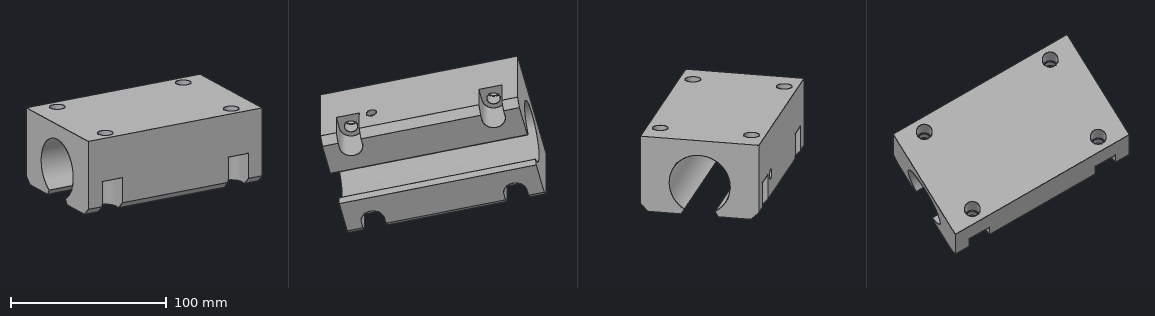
import cadquery as cq
import math

width = 78.0
length = 130.0
height = 51.0
bevel = 5.0

bore_diameter = 40.0
bore_axis_z = 20.9
mouth_half_angle = math.radians(30)

hole_spacing_x = 60.0
hole_spacing_y = 94.0
thread_diameter = 10.0
core_diameter = 8.6
thread_depth = 20.0
slot_width = 15.1
slot_height = 22.0

port_y = 31.5
port_z = 19.5
port_diameter = 6.5
port_depth = 4.0
duct_diameter = 4.0


def make_block():
    half_width = width / 2
    foot_half_width = half_width - bevel
    profile = cq.Workplane("XZ", origin=(0, length / 2, 0)).polyline([
        (-foot_half_width, 0),
        (foot_half_width, 0),
        (half_width, bevel),
        (half_width, height),
        (-half_width, height),
        (-half_width, bevel),
    ])
    return profile.close().extrude(length)


def make_bore():
    plane = cq.Workplane("XZ", origin=(0, length / 2, 0))
    bore = plane.center(0, bore_axis_z).circle(bore_diameter / 2).extrude(length)
    mouth_half_width = bore_axis_z * math.tan(mouth_half_angle)
    mouth = plane.polyline([
        (0, bore_axis_z),
        (-mouth_half_width, 0),
        (mouth_half_width, 0),
    ]).close().extrude(length)
    return bore.union(mouth)


def make_mounting_hole(side_x, side_y):
    """Stepped vertical hole over a round-ended slot open to the nearest side."""
    x = side_x * hole_spacing_x / 2
    y = side_y * hole_spacing_y / 2
    core = cq.Workplane("XY", origin=(x, y, 0)).circle(core_diameter / 2).extrude(height)
    thread = (
        cq.Workplane("XY", origin=(x, y, height))
        .circle(thread_diameter / 2)
        .extrude(-thread_depth)
    )
    slot_end = cq.Workplane("XY", origin=(x, y, 0)).circle(slot_width / 2).extrude(slot_height)
    slot_run = width / 2 - abs(x)
    slot = (
        cq.Workplane("XY", origin=(x + side_x * slot_run / 2, y, 0))
        .rect(slot_run, slot_width)
        .extrude(slot_height)
    )
    return core.union(thread).union(slot_end).union(slot)


def make_port():
    plane = cq.Workplane("YZ", origin=(-width / 2, port_y, port_z))
    port = plane.circle(port_diameter / 2).extrude(port_depth)
    duct = plane.circle(duct_diameter / 2).extrude(width / 2)
    return port.union(duct)


result = make_block().cut(make_bore())
for side_x in (-1, 1):
    for side_y in (-1, 1):
        result = result.cut(make_mounting_hole(side_x, side_y))
result = result.cut(make_port())